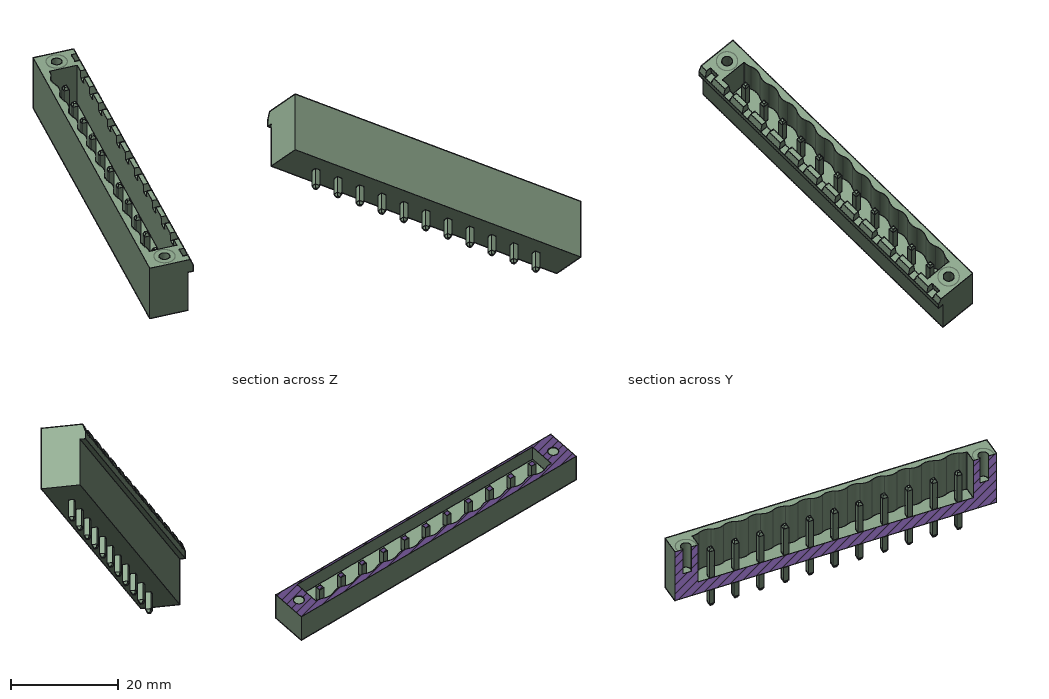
import cadquery as cq

length = 66.05
housing_height = 12.0
front_y = -3.75
back_y = 3.75

pin_count = 11
pitch = 5.1
pin_xs = [(i - (pin_count - 1) / 2) * pitch for i in range(pin_count)]
first_pin_x = pin_xs[0]
last_pin_x = pin_xs[-1]
mount_xs = [first_pin_x - pitch, last_pin_x + pitch]

lip_overhang = 1.05
lip_height = 3.0
lip_bevel_depth = 0.6
lip_bevel_height = 1.5
lip_y = back_y + lip_overhang

socket_half_length = 28.2
socket_back_y = 3.25
crest_y = -2.2
scallop_depth = 0.6
floor_thickness = 3.0

notch_top_width = 2.05
notch_bottom_width = 1.45
notch_depth = 1.6

mount_diameter = 2.0
insert_diameter = 3.95
mount_depth = 5.95

pin_width = 1.05
pin_tip_width = 0.5
pin_taper = 0.6
pin_bottom_z = -3.95
pin_top_z = 10.0


def make_housing():
    """Extrude the end profile, with its beveled lip, along X."""
    profile = [
        (front_y, 0),
        (back_y, 0),
        (back_y, housing_height - lip_height),
        (lip_y, housing_height - lip_height),
        (lip_y, housing_height - lip_bevel_height),
        (lip_y - lip_bevel_depth, housing_height),
        (front_y, housing_height),
    ]
    return cq.Workplane("YZ").polyline(profile).close().extrude(length / 2, both=True)


def make_socket():
    """Socket outline: one scallop per pin, made of equal arcs that meet tangentially."""
    inflection_y = crest_y - scallop_depth / 2
    outline = (
        cq.Workplane("XY", origin=(0, 0, floor_thickness))
        .moveTo(-socket_half_length, socket_back_y)
        .lineTo(-socket_half_length, crest_y)
        .lineTo(first_pin_x - pitch / 2, crest_y)
    )
    for x in pin_xs:
        outline = outline.tangentArcPoint((x - pitch / 4, inflection_y), relative=False)
        outline = outline.tangentArcPoint((x + pitch / 4, inflection_y), relative=False)
    outline = (
        outline.tangentArcPoint((last_pin_x + pitch / 2, crest_y), relative=False)
        .lineTo(socket_half_length, crest_y)
        .lineTo(socket_half_length, socket_back_y)
        .close()
    )
    return outline.extrude(housing_height - floor_thickness)


def make_notch(x):
    """Tapered notch that is open at the top and at the back."""
    bottom_z = housing_height - notch_depth
    corners = [
        (x - notch_top_width / 2, housing_height),
        (x - notch_bottom_width / 2, bottom_z),
        (x + notch_bottom_width / 2, bottom_z),
        (x + notch_top_width / 2, housing_height),
    ]
    plane = cq.Workplane("XZ", origin=(0, socket_back_y, 0))
    return plane.polyline(corners).close().extrude(socket_back_y - lip_y)


def make_pin_end(x, shoulder_z, tip_z):
    """Taper from the full pin section to its smaller tip."""
    return (
        cq.Workplane("XY", origin=(x, 0, shoulder_z))
        .rect(pin_width, pin_width)
        .workplane(offset=tip_z - shoulder_z)
        .rect(pin_tip_width, pin_tip_width)
        .loft(ruled=True)
    )


def make_pin(x):
    """Square pin that passes through the socket floor."""
    lower_shoulder_z = pin_bottom_z + pin_taper
    upper_shoulder_z = pin_top_z - pin_taper
    shank = (
        cq.Workplane("XY", origin=(x, 0, lower_shoulder_z))
        .rect(pin_width, pin_width)
        .extrude(upper_shoulder_z - lower_shoulder_z)
    )
    lower_end = make_pin_end(x, lower_shoulder_z, pin_bottom_z)
    upper_end = make_pin_end(x, upper_shoulder_z, pin_top_z)
    return shank.union(lower_end).union(upper_end)


def make_mount_cylinder(x, diameter):
    """Cylinder that reaches from the mounting hole's floor up to the top face."""
    plane = cq.Workplane("XY", origin=(x, 0, housing_height - mount_depth))
    return plane.circle(diameter / 2).extrude(mount_depth)


result = make_housing().cut(make_socket())

for x in pin_xs + mount_xs:
    result = result.cut(make_notch(x))

for x in pin_xs:
    result = result.union(make_pin(x))

for x in mount_xs:
    seat = make_mount_cylinder(x, insert_diameter)
    insert = seat.cut(make_mount_cylinder(x, mount_diameter))
    result = result.cut(seat, clean=False).union(insert, clean=False)